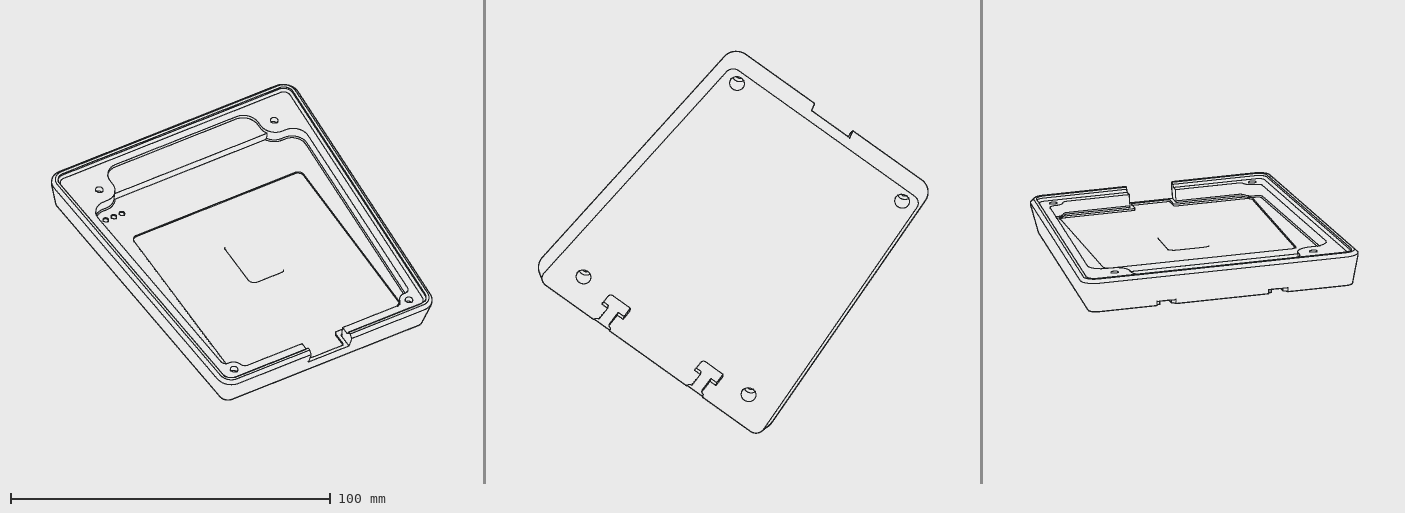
import cadquery as cq
import math

TILT = 10.0

LENGTH = 100.2
HALF_WIDTH_LEFT = 44.9
HALF_WIDTH_RIGHT = 38.7
CORNER_RADIUS = 4.9
HEIGHT = 11.0
WALL_DRAFT = 13.0
RIM_CHAMFER = 1.1
RIM_BAND = 0.8
BAND_BOTTOM = HEIGHT - RIM_CHAMFER - RIM_BAND

LIP_STEP = 0.7
LIP_BEVEL = 0.8
SHELF_INSET = 2.8
SHELF_HEIGHT = HEIGHT - LIP_STEP - LIP_BEVEL

POCKET_FLOOR = 5.4
POCKET_LEFT = 5.1
POCKET_RIGHT = 94.7
POCKET_SIDE_INSET = 5.2
POCKET_BASE_CHAMFER = 0.4
LEDGE_END = 14.5
LEDGE_HEIGHT = 8.3

SCREW_LEFT = 11.8
SCREW_RIGHT = 94.2
SCREW_HALF_SPACING = 32.0
SCREW_DIAMETER = 2.4
COUNTERBORE_DIAMETER = 4.6
COUNTERBORE_DEPTH = 7.5
BOSS_RADIUS_LEFT = 4.9
BOSS_RADIUS_RIGHT = 3.0
BOSS_BLEND_RIGHT = 1.8

RECESS_DEPTH = 0.6
RECESS_FLOOR = POCKET_FLOOR - RECESS_DEPTH
RECESS_LEFT = 30.3
RECESS_RIGHT = 92.5
RECESS_HALF_WIDTH = 31.0
RECESS_RADIUS = 2.0
TONGUE_END = 98.2
TONGUE_HALF_WIDTH = 6.2
TONGUE_RADIUS = 0.8
OPENING_HALF_WIDTH = 7.4

WELL_LEFT = 45.1
WELL_RIGHT = 62.9
WELL_HALF_WIDTH = 6.3
WELL_DEPTH = 4.0
WELL_CORNER_RADIUS = 2.0
WELL_EDGE_FILLET = 1.1
WELL_BASE_FILLET = 0.8

PIN_HOLE_DIAMETER = 1.8
PIN_HOLE_DEPTH = 0.5
PIN_HOLE_U = 20.5
PIN_HOLE_COUNT = 3
PIN_HOLE_FIRST_Y = -28.5
PIN_HOLE_PITCH = 3.0

SLOT_Y = 18.0
SLOT_NECK_HALF_WIDTH = 1.9
SLOT_HEAD_HALF_WIDTH = 4.1
SLOT_HEAD_START = 7.9
SLOT_HEAD_END = 12.3
SLOT_HEAD_RADIUS = 1.1
SLOT_MOUTH_RADIUS = 1.2
SLOT_MOUTH_HEIGHT = 1.5

WALL_SLOPE = (HALF_WIDTH_RIGHT - HALF_WIDTH_LEFT) / LENGTH
WALL_INSET_AT_BOTTOM = BAND_BOTTOM * math.tan(math.radians(WALL_DRAFT))


def half_width(u):
    return HALF_WIDTH_LEFT + WALL_SLOPE * u


def rounded_outline(height, corners):
    """Closed outline through (u, y, radius) corners, each rounded by a tangent arc."""
    arcs = []
    for i, (u, y, radius) in enumerate(corners):
        corner = cq.Vector(u, y)
        before = (cq.Vector(*corners[i - 1][:2]) - corner).normalized()
        after = (cq.Vector(*corners[(i + 1) % len(corners)][:2]) - corner).normalized()
        half_angle = before.getAngle(after) / 2
        tangent_length = radius / math.tan(half_angle)
        middle_distance = radius / math.sin(half_angle) - radius
        middle = corner + (before + after).normalized() * middle_distance
        arcs.append((corner + before * tangent_length, middle, corner + after * tangent_length))
    outline = cq.Workplane("XY", origin=(0, 0, height)).moveTo(*arcs[0][2].toTuple()[:2])
    for start, middle, end in arcs[1:] + arcs[:1]:
        outline = outline.lineTo(*start.toTuple()[:2])
        outline = outline.threePointArc(middle.toTuple()[:2], end.toTuple()[:2])
    return outline.close()


def mirrored(upper_corners):
    """Corner list completed by its mirror image about Y = 0."""
    return upper_corners + [(u, -y, radius) for u, y, radius in reversed(upper_corners)]


def shell_outline(height, inset):
    side_inset = inset * math.hypot(1, WALL_SLOPE)
    radius = CORNER_RADIUS - inset
    return rounded_outline(height, mirrored([
        (u, half_width(u) - side_inset, radius) for u in (inset, LENGTH - inset)
    ]))


def make_shell():
    lower = shell_outline(BAND_BOTTOM, 0).extrude(-BAND_BOTTOM, taper=WALL_DRAFT)
    rim = shell_outline(BAND_BOTTOM, 0).extrude(HEIGHT - BAND_BOTTOM)
    return lower.union(rim.faces(">Z").edges().chamfer(RIM_CHAMFER))


def make_lip_recess():
    bevel = shell_outline(SHELF_HEIGHT, SHELF_INSET).extrude(LIP_BEVEL, taper=-45)
    step = shell_outline(HEIGHT - LIP_STEP, SHELF_INSET - LIP_BEVEL).extrude(LIP_STEP)
    return bevel.union(step)


def make_pocket():
    step_u = SCREW_LEFT + BOSS_RADIUS_LEFT
    step_y = SCREW_HALF_SPACING - BOSS_RADIUS_LEFT
    corners = [
        (POCKET_LEFT, step_y),
        (step_u, step_y),
        (step_u, half_width(step_u) - POCKET_SIDE_INSET),
        (POCKET_RIGHT, half_width(POCKET_RIGHT) - POCKET_SIDE_INSET),
    ]
    corners += [(u, -y) for u, y in reversed(corners)]
    floor = cq.Workplane("XY", origin=(0, 0, POCKET_FLOOR))
    depth = HEIGHT - POCKET_FLOOR
    right_bosses = floor.pushPoints([(SCREW_RIGHT, side * SCREW_HALF_SPACING) for side in (1, -1)])
    pocket = floor.polyline(corners).close().extrude(depth)
    pocket = pocket.cut(right_bosses.circle(BOSS_RADIUS_RIGHT).extrude(depth))

    left_end = cq.selectors.BoxSelector((0, -LENGTH, 0), (LENGTH / 2, LENGTH, HEIGHT))
    right_end = cq.selectors.BoxSelector((LENGTH / 2, -LENGTH, 0), (LENGTH, LENGTH, HEIGHT))
    pocket = pocket.edges("|Z").edges(left_end).fillet(BOSS_RADIUS_LEFT)
    pocket = pocket.edges("|Z").edges(right_end).fillet(BOSS_BLEND_RIGHT)
    pocket = pocket.faces("<Z").edges().chamfer(POCKET_BASE_CHAMFER)
    ledge = cq.Workplane("XY").box(
        LEDGE_END, 2 * HALF_WIDTH_LEFT, LEDGE_HEIGHT, centered=(False, True, False)
    )
    return pocket.cut(ledge)


def make_wall_opening():
    opening = cq.Workplane("XY", origin=(RECESS_RIGHT, 0, POCKET_FLOOR))
    return opening.box(LENGTH, 2 * OPENING_HALF_WIDTH, HEIGHT, centered=(False, True, False))


def make_recess():
    return rounded_outline(RECESS_FLOOR, mirrored([
        (RECESS_LEFT, RECESS_HALF_WIDTH, RECESS_RADIUS),
        (RECESS_RIGHT, RECESS_HALF_WIDTH, RECESS_RADIUS),
        (RECESS_RIGHT, TONGUE_HALF_WIDTH, TONGUE_RADIUS),
        (TONGUE_END, TONGUE_HALF_WIDTH, TONGUE_RADIUS),
    ])).extrude(RECESS_DEPTH)


def cut_well(body):
    floor_height = RECESS_FLOOR - WELL_DEPTH
    well = rounded_outline(floor_height, mirrored([
        (u, WELL_HALF_WIDTH, WELL_CORNER_RADIUS) for u in (WELL_LEFT, WELL_RIGHT)
    ])).extrude(WELL_DEPTH)
    well = well.faces("<Z").edges().fillet(WELL_BASE_FILLET)
    margin = RECESS_DEPTH / 2
    rim = cq.selectors.BoxSelector(
        (WELL_LEFT - margin, -WELL_HALF_WIDTH - margin, RECESS_FLOOR - margin),
        (WELL_RIGHT + margin, WELL_HALF_WIDTH + margin, RECESS_FLOOR + margin),
    )
    return body.cut(well).edges(rim).fillet(WELL_EDGE_FILLET)


def make_screw_holes():
    points = [(u, side * SCREW_HALF_SPACING) for u in (SCREW_LEFT, SCREW_RIGHT) for side in (1, -1)]
    plane = cq.Workplane("XY").pushPoints(points)
    through = plane.circle(SCREW_DIAMETER / 2).extrude(HEIGHT)
    return through.union(plane.circle(COUNTERBORE_DIAMETER / 2).extrude(COUNTERBORE_DEPTH))


def make_pin_holes():
    points = [(PIN_HOLE_U, PIN_HOLE_FIRST_Y - i * PIN_HOLE_PITCH) for i in range(PIN_HOLE_COUNT)]
    plane = cq.Workplane("XY", origin=(0, 0, POCKET_FLOOR)).pushPoints(points)
    return plane.circle(PIN_HOLE_DIAMETER / 2).extrude(-PIN_HOLE_DEPTH)


def make_underside_slots():
    """T slots whose ceiling becomes level once the tray is tilted."""
    wall_u = WALL_INSET_AT_BOTTOM
    mouth = SLOT_NECK_HALF_WIDTH + SLOT_MOUTH_RADIUS
    half_slot = (
        cq.Workplane("XY")
        .moveTo(0, 0)
        .lineTo(0, mouth)
        .lineTo(wall_u, mouth)
        .radiusArc((wall_u + SLOT_MOUTH_RADIUS, SLOT_NECK_HALF_WIDTH), SLOT_MOUTH_RADIUS)
        .lineTo(SLOT_HEAD_START, SLOT_NECK_HALF_WIDTH)
        .lineTo(SLOT_HEAD_START, SLOT_HEAD_HALF_WIDTH)
        .lineTo(SLOT_HEAD_END, SLOT_HEAD_HALF_WIDTH)
        .lineTo(SLOT_HEAD_END, 0)
        .close()
        .extrude(HEIGHT)
        .edges("|Z and >X and >Y")
        .fillet(SLOT_HEAD_RADIUS)
    )
    rise = math.tan(math.radians(TILT))
    ceiling = (
        cq.Workplane("XZ")
        .polyline([
            (0, 0),
            (0, SLOT_MOUTH_HEIGHT - wall_u * rise),
            (SLOT_HEAD_END, SLOT_MOUTH_HEIGHT + (SLOT_HEAD_END - wall_u) * rise),
            (SLOT_HEAD_END, 0),
        ])
        .close()
        .extrude(2 * SLOT_HEAD_HALF_WIDTH, both=True)
    )
    slot = half_slot.union(half_slot.mirror("XZ")).intersect(ceiling)
    return slot.translate((0, SLOT_Y, 0)).union(slot.translate((0, -SLOT_Y, 0)))


tray = (
    make_shell()
    .cut(make_lip_recess())
    .cut(make_pocket())
    .cut(make_wall_opening())
    .cut(make_recess())
)
tray = cut_well(tray)
tray = tray.cut(make_screw_holes()).cut(make_pin_holes()).cut(make_underside_slots())

result = tray.rotate((0, 0, 0), (0, 1, 0), TILT)